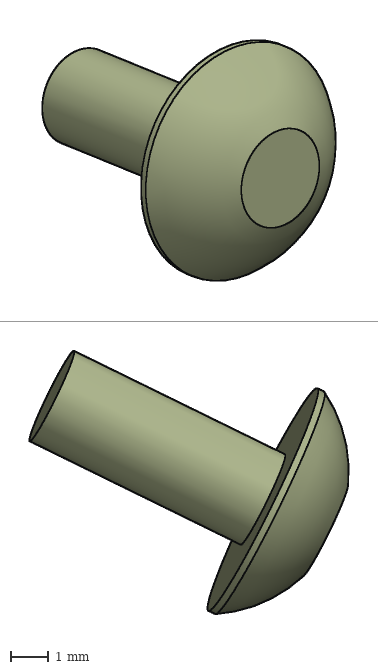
import cadquery as cq
import math

total_length = 8.2
shank_length = 6.33
shank_diameter = 2.71
head_diameter = 6.66
rim_thickness = 0.2
crown_flat_diameter = 2.77

shank_radius = shank_diameter / 2
head_radius = head_diameter / 2
flat_radius = crown_flat_diameter / 2

shank_end = -total_length / 2
head_underside = shank_end + shank_length
rim_edge = head_underside + rim_thickness
crown_end = total_length / 2

crown_height = crown_end - rim_edge
center_depth = (head_radius**2 - flat_radius**2 - crown_height**2) / (2 * crown_height)
sphere_center = rim_edge - center_depth
sphere_radius = math.hypot(center_depth, head_radius)

rim_angle = math.atan2(head_radius, center_depth)
flat_angle = math.atan2(flat_radius, center_depth + crown_height)
middle_angle = (rim_angle + flat_angle) / 2
crown_middle = (
    sphere_center + sphere_radius * math.cos(middle_angle),
    sphere_radius * math.sin(middle_angle),
)

result = (
    cq.Workplane("XY")
    .moveTo(shank_end, 0)
    .lineTo(shank_end, shank_radius)
    .lineTo(head_underside, shank_radius)
    .lineTo(head_underside, head_radius)
    .lineTo(rim_edge, head_radius)
    .threePointArc(crown_middle, (crown_end, flat_radius))
    .lineTo(crown_end, 0)
    .close()
    .revolve(360, (0, 0, 0), (1, 0, 0))
)